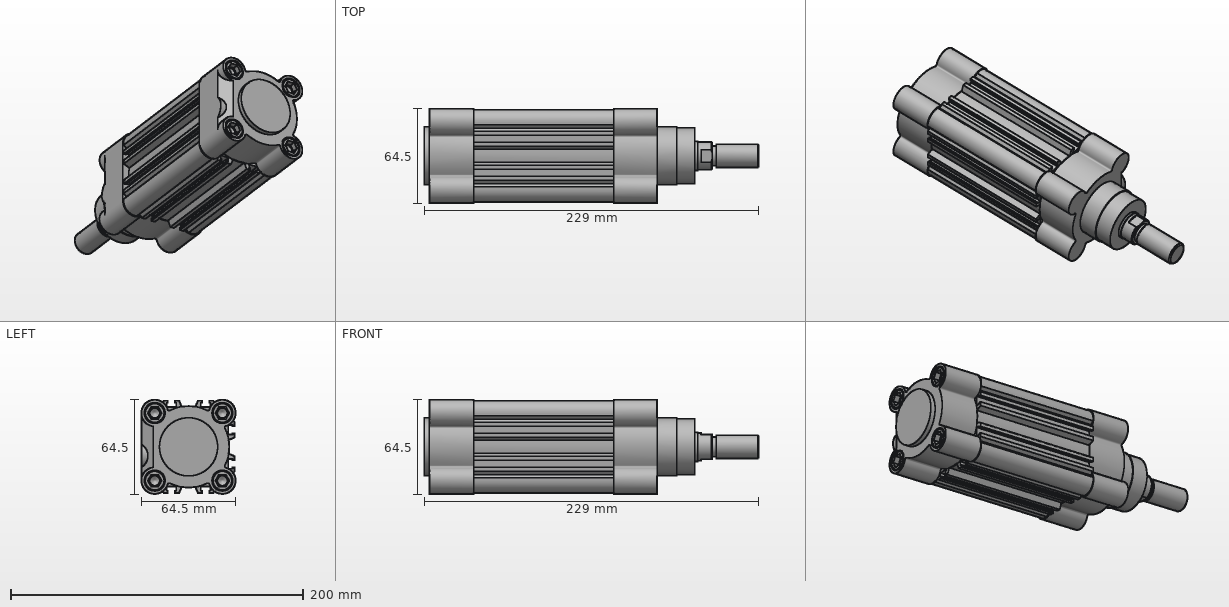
import cadquery as cq
import math


REAR_FACE_X = 3.7
TUBE_REAR_X = 34.0
TUBE_FRONT_X = 129.8
FRONT_FACE_X = 159.4
COLLAR_STEP_X = 173.0
COLLAR_END_X = 185.3
ROD_START_X = 187.0
FLATS_START_X = 189.4
SHOULDER_END_X = 197.0
THREAD_START_X = 199.7
ROD_END_X = 229.0

CAP_WIDTH = 64.5
HALF_WIDTH = CAP_WIDTH / 2
CORNER_RADIUS = 9.2
CORNER_OFFSET = HALF_WIDTH - CORNER_RADIUS
CAP_CORE_RADIUS = 28.0
CORNER_BLEND_RADIUS = 1.1
REAR_BOSS_RADIUS = 20.0
COLLAR_RADIUS = 20.0
COLLAR_TIP_RADIUS = 19.2
BUSH_RADIUS = 10.0
MATCH_TOLERANCE = 0.02

PAD_EDGE_Y = 24.3
PAD_SLOPE_LENGTH = 3.0
PORT_RADIUS = 10.0
PORT_OFFSET_X = 5.7
PORT_Z = -6.2

HEAD_GAP_OUTER_RADIUS = 7.0
HEAD_GAP_INNER_RADIUS = 6.5
HEAD_GAP_DEPTH = 1.1
SOCKET_ACROSS_FLATS = 8.2
SOCKET_DEPTH = 4.5
SOCKET_TIP_RADIUS = 3.5
SOCKET_TIP_DEPTH = 2.0

TUBE_HALF_WIDTH = 31.5
TUBE_CORNER_RADIUS = TUBE_HALF_WIDTH - CORNER_OFFSET
TUBE_CORE_RADIUS = 27.5
CHANNEL_TOP_HALF = 6.5
CHANNEL_FLOOR_HALF = 4.1
CHANNEL_FLOOR = 26.3
SLOT_CENTER = 11.7
SLOT_MOUTH_WIDTH = 4.8
SLOT_INNER_WIDTH = 6.5
SLOT_FLOOR = 27.3
SLOT_LIP = 1.5
GROOVE_CENTER = 19.0
GROOVE_DEPTH = 2.18

SHOULDER_RADIUS = 9.6
SHOULDER_CHAMFER = 0.7
WRENCH_WIDTH = 17.2
NECK_RADIUS = 6.9
THREAD_RADIUS = 8.0
THREAD_CHAMFER = 1.0


def cross_section(x):
    """Workplane across the axis at x, with local x along Y and local y along Z."""
    return cq.Workplane("YZ", origin=(x, 0, 0))


def disc(x_start, x_end, radius):
    return cross_section(x_start).circle(radius).extrude(x_end - x_start)


def at_corners(workplane):
    return workplane.rect(2 * CORNER_OFFSET, 2 * CORNER_OFFSET, forConstruction=True).vertices()


def port_pad(outer_x, inner_x):
    """Block filling the +Y side, slanted near the outer face, with a flush round port boss."""
    inward = math.copysign(2.3, inner_x - outer_x)
    block = (
        cq.Workplane("XY", origin=(0, 0, -CORNER_OFFSET))
        .moveTo(outer_x, 0)
        .lineTo(outer_x, PAD_EDGE_Y)
        .lineTo(outer_x + inward * PAD_SLOPE_LENGTH, HALF_WIDTH)
        .lineTo(inner_x, HALF_WIDTH)
        .lineTo(inner_x, 0)
        .close()
        .extrude(2 * CORNER_OFFSET)
    )
    port = (
        cq.Workplane("XZ", origin=(outer_x + inward * PORT_OFFSET_X, HALF_WIDTH, PORT_Z))
        .circle(PORT_RADIUS)
        .extrude(HALF_WIDTH)
    )
    return block.union(port)


class ValleyEdges(cq.Selector):
    """Inner corners where the columns meet the core, as opposed to seam lines."""

    def filter(self, edges):
        return [e for e in edges if self.is_valley(e.Center())]

    @staticmethod
    def is_valley(point):
        to_column = math.hypot(abs(point.y) - CORNER_OFFSET, abs(point.z) - CORNER_OFFSET)
        on_core = abs(math.hypot(point.y, point.z) - CAP_CORE_RADIUS) < MATCH_TOLERANCE
        return on_core and abs(to_column - CORNER_RADIUS) < MATCH_TOLERANCE


def cap_body(outer_x, inner_x):
    """Round core with four corner columns, blended together, and the port pad."""
    x_start = min(outer_x, inner_x)
    x_end = max(outer_x, inner_x)
    length = x_end - x_start
    core = disc(x_start, x_end, CAP_CORE_RADIUS)
    columns = at_corners(cross_section(x_start)).circle(CORNER_RADIUS).extrude(length)
    body = core.union(columns).edges("|X").edges(ValleyEdges()).fillet(CORNER_BLEND_RADIUS)
    beyond_pad_edge = (
        cross_section(x_start).center(PAD_EDGE_Y + HALF_WIDTH, 0)
        .rect(CAP_WIDTH, 2 * CORNER_OFFSET).extrude(length)
    )
    body = body.cut(beyond_pad_edge)
    return body.union(port_pad(outer_x, inner_x)).union(columns)


def screw_recesses():
    """Ring gap round each screw head and its hexagon socket with a conical bottom."""
    face = cross_section(REAR_FACE_X)
    gaps = (
        at_corners(face).circle(HEAD_GAP_OUTER_RADIUS).circle(HEAD_GAP_INNER_RADIUS)
        .extrude(HEAD_GAP_DEPTH)
    )
    across_corners = SOCKET_ACROSS_FLATS / math.cos(math.pi / 6)
    sockets = at_corners(face).polygon(6, across_corners).extrude(SOCKET_DEPTH)
    recesses = gaps.union(sockets)
    tip = cq.Solid.makeCone(SOCKET_TIP_RADIUS, 0, SOCKET_TIP_DEPTH, dir=cq.Vector(1, 0, 0))
    tip_x = REAR_FACE_X + SOCKET_DEPTH
    for y in (-CORNER_OFFSET, CORNER_OFFSET):
        for z in (-CORNER_OFFSET, CORNER_OFFSET):
            placed_tip = tip.translate(cq.Vector(tip_x, y, z))
            recesses = recesses.union(cq.Workplane(placed_tip))
    return recesses


def make_rear_cap():
    body = cap_body(REAR_FACE_X, TUBE_REAR_X)
    return body.union(disc(0, REAR_FACE_X, REAR_BOSS_RADIUS)).cut(screw_recesses())


def make_front_cap():
    body = cap_body(FRONT_FACE_X, TUBE_FRONT_X)
    collar = disc(FRONT_FACE_X, COLLAR_STEP_X, COLLAR_RADIUS)
    collar_tip = disc(COLLAR_STEP_X, COLLAR_END_X, COLLAR_TIP_RADIUS)
    bush = disc(COLLAR_END_X, ROD_START_X, BUSH_RADIUS)
    return body.union(collar).union(collar_tip).union(bush)


def side_cuts(length):
    """Channel, T-slots and V grooves of the tube's +Z side."""
    section = cross_section(TUBE_REAR_X)
    channel = (
        section.moveTo(-CHANNEL_TOP_HALF, TUBE_HALF_WIDTH)
        .lineTo(-CHANNEL_FLOOR_HALF, CHANNEL_FLOOR)
        .lineTo(CHANNEL_FLOOR_HALF, CHANNEL_FLOOR)
        .lineTo(CHANNEL_TOP_HALF, TUBE_HALF_WIDTH)
        .close()
        .extrude(length)
    )
    cuts = channel.cut(disc(TUBE_REAR_X, TUBE_FRONT_X, TUBE_CORE_RADIUS))
    slot_depth = TUBE_HALF_WIDTH - SLOT_FLOOR
    inner_depth = slot_depth - SLOT_LIP
    for side in (-1, 1):
        center = side * SLOT_CENTER
        mouth = (
            section.center(center, SLOT_FLOOR + slot_depth / 2)
            .rect(SLOT_MOUTH_WIDTH, slot_depth).extrude(length)
        )
        inner = (
            section.center(center, SLOT_FLOOR + inner_depth / 2)
            .rect(SLOT_INNER_WIDTH, inner_depth).extrude(length)
        )
        groove = (
            section.moveTo(side * (GROOVE_CENTER - GROOVE_DEPTH), TUBE_HALF_WIDTH)
            .lineTo(side * GROOVE_CENTER, TUBE_HALF_WIDTH - GROOVE_DEPTH)
            .lineTo(side * (GROOVE_CENTER + GROOVE_DEPTH), TUBE_HALF_WIDTH)
            .close()
            .extrude(length)
        )
        cuts = cuts.union(mouth).union(inner).union(groove)
    return cuts


def make_tube():
    length = TUBE_FRONT_X - TUBE_REAR_X
    tube = (
        cross_section(TUBE_REAR_X).rect(2 * TUBE_HALF_WIDTH, 2 * TUBE_HALF_WIDTH).extrude(length)
        .edges("|X").fillet(TUBE_CORNER_RADIUS)
    )
    cuts = side_cuts(length)
    for quarter in range(4):
        tube = tube.cut(cuts.rotate((0, 0, 0), (1, 0, 0), 90 * quarter))
    return tube


def make_rod():
    shoulder = (
        disc(ROD_START_X, SHOULDER_END_X, SHOULDER_RADIUS)
        .faces(">X").chamfer(SHOULDER_CHAMFER)
    )
    flats_length = SHOULDER_END_X - FLATS_START_X
    between_flats = (
        cross_section(FLATS_START_X).rect(2 * SHOULDER_RADIUS, WRENCH_WIDTH).extrude(flats_length)
    )
    plain_end = disc(ROD_START_X, FLATS_START_X, SHOULDER_RADIUS)
    shoulder = shoulder.intersect(plain_end.union(between_flats))
    neck = disc(SHOULDER_END_X, THREAD_START_X, NECK_RADIUS)
    thread = disc(THREAD_START_X, ROD_END_X, THREAD_RADIUS).faces(">X").chamfer(THREAD_CHAMFER)
    return shoulder.union(neck).union(thread)


rear_cap = make_rear_cap()
tube = make_tube()
front_cap = make_front_cap()
rod = make_rod()

result = cq.Compound.makeCompound([rear_cap.val(), tube.val(), front_cap.val(), rod.val()])